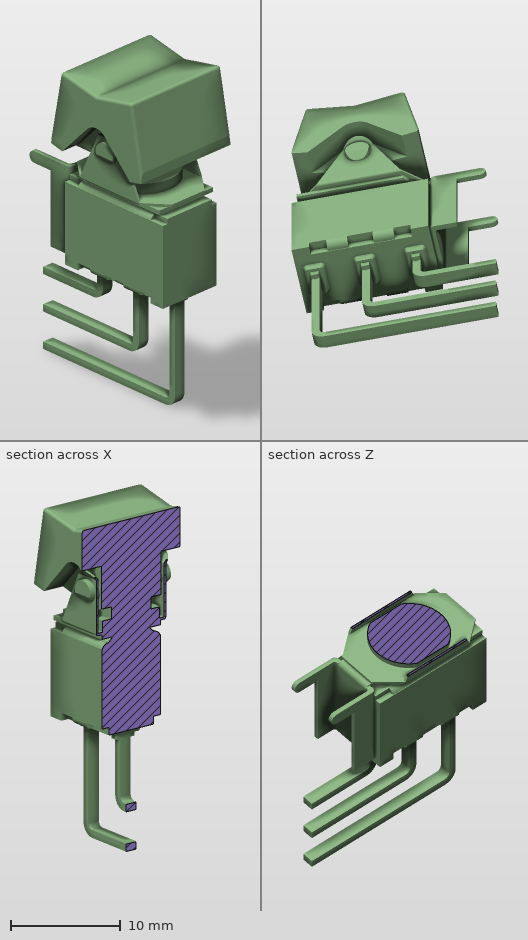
import cadquery as cq
import math


case_length = 12.7
case_width = 6.83
case_bottom = 11.6
case_top = 20.53
case_step_height = 0.52
case_step_depth = 0.6

sheet = 0.45
sheet_outer_bend = 0.42
sheet_inner_bend = 0.23
frame_half_length = 4.72
frame_side_bottom = 12.33
frame_bend_radius = 0.8
frame_plate_bottom = 20.95
frame_plate_top = frame_plate_bottom + sheet
frame_plate_right = 5.9
frame_plate_left = -5.47
frame_corner_run = 1.43
frame_neck_half_width = case_width / 2 - frame_corner_run
riser_length = 11.4
riser_width = case_width - 2 * frame_bend_radius
riser_corner_radius = 1.0
riser_taper = 45
web_outer_x = -case_length / 2 - sheet
leg_outer_y = 2.83
leg_left = -8.85
leg_top = 21.28
hook_left = -11.6
hook_height = 1.2
tab_length = 1.95
tab_offset = 2.15
tab_bottom = 11.65
tab_radius = 0.65

bracket_sheet = 0.25
bracket_outer_bend = 0.23
bracket_half_length = 6.18
bracket_half_width = 4.05
bracket_plate_bottom = frame_plate_top
bracket_plate_top = bracket_plate_bottom + bracket_sheet
bracket_end_half_width = 2.08
bracket_wall_half_foot = 3.8
bracket_lip_z = 26.78
bracket_lip_angle = 40
bracket_top_radius = 1.6
bracket_top = 27.63
bracket_top_center = bracket_top - bracket_top_radius

bushing_diameter = 5.2
collar_diameter = 7.6
collar_width = 6.65
collar_top = 22.75

cap_peak = 32.55
cap_valley = 31.65
cap_bottom = 23.6
cap_width = 11.42
cap_top_half_length = 4.6
cap_half_length = 5.85
cap_slope_end = 25.95
cap_skirt_end = 24.93
cap_edge_radius = 0.3
core_width = 6.95
arch_top = 28.5
arch_radius = 1.6
arch_angle = 46.5

pin_diameter = 2.2
pin_z = 25.48
pin_protrusion = 0.65
pin_end_y = bracket_half_width + pin_protrusion
pin_ramp_top = 25.15
pin_land = 0.05

terminal_pitch = 4.7
terminal_step = 3.8
terminal_thickness = 0.75
terminal_width = 1.2
terminal_left = -12.07
terminal_inner_radius = 0.52
terminal_count = 3
shoulder_width = 2.08
shoulder_bottom = 10.58
seal_length = 2.02
seal_width = 3.2
seal_bottom = 11.13
seal_taper = 30
seal_corner_radius = 0.4


def block(x_min, x_max, y_min, y_max, z_min, z_max):
    return cq.Workplane("XY").box(
        x_max - x_min, y_max - y_min, z_max - z_min, centered=False
    ).translate((x_min, y_min, z_min))


def extrude_across(profile, width):
    """Turn an XZ wire sketch into a prism of the given width, centred on Y = 0."""
    return profile.close().extrude(width / 2, both=True)


def make_case():
    """Case with stepped top edges and a waist, below the frame, between its two end blocks."""
    half_length = case_length / 2
    half_width = case_width / 2
    case = block(-half_length, half_length, -half_width, half_width, case_bottom, case_top)
    step_y = half_width - case_step_depth
    for y_min in (-half_width, step_y):
        case = case.cut(
            block(
                -half_length, half_length, y_min, y_min + case_step_depth,
                case_top - case_step_height, case_top,
            )
        )
    for y_min in (-half_width, half_width - frame_bend_radius):
        case = case.cut(
            block(
                -frame_half_length, frame_half_length, y_min, y_min + frame_bend_radius,
                case_bottom, frame_side_bottom,
            )
        )
    return case


def make_frame_sides():
    """Side panels rounded over at the top, with clip tabs that curl in under the bottom edge."""
    half_width = case_width / 2
    sides = block(
        -frame_half_length, frame_half_length, -half_width, half_width, frame_side_bottom, case_top
    )
    sides = sides.faces(">Z").edges("|X").fillet(frame_bend_radius)
    for offset in (-tab_offset, tab_offset):
        tabs = block(
            offset - tab_length / 2, offset + tab_length / 2, -half_width, half_width,
            tab_bottom, frame_side_bottom,
        )
        sides = sides.union(tabs.faces("<Z").edges("|X").fillet(tab_radius))
    return sides


def make_frame_plate():
    """Flat plate that narrows to a neck and bends down into the web."""
    half_width = case_width / 2
    corner_x = frame_plate_left + frame_corner_run
    plate = (
        cq.Workplane("XY", origin=(0, 0, frame_plate_bottom))
        .moveTo(frame_plate_right, -half_width)
        .lineTo(corner_x, -half_width)
        .lineTo(frame_plate_left, -frame_neck_half_width)
        .lineTo(web_outer_x, -frame_neck_half_width)
        .lineTo(web_outer_x, frame_neck_half_width)
        .lineTo(frame_plate_left, frame_neck_half_width)
        .lineTo(corner_x, half_width)
        .lineTo(frame_plate_right, half_width)
        .close()
        .extrude(sheet)
    )
    web = block(
        web_outer_x, web_outer_x + sheet, -frame_neck_half_width, frame_neck_half_width,
        frame_side_bottom, frame_plate_top,
    )
    return plate.union(web).faces("<X").edges(">Z").fillet(sheet_outer_bend)


def make_riser():
    """Tapered step between the case top and the frame plate."""
    outline = cq.Sketch().rect(riser_length, riser_width).vertices().fillet(riser_corner_radius)
    return (
        cq.Workplane("XY", origin=(0, 0, case_top))
        .placeSketch(outline)
        .extrude(frame_plate_bottom - case_top, taper=riser_taper)
    )


def make_legs():
    """Flanges bent outward from both sides of the web, each with a round-ended hook at the top."""
    channel = block(
        leg_left, web_outer_x + sheet, -leg_outer_y, leg_outer_y, frame_side_bottom, leg_top
    )
    channel = channel.faces(">X").edges("|Z").fillet(sheet_outer_bend)
    inner_y = leg_outer_y - sheet
    gap = block(leg_left, web_outer_x, -inner_y, inner_y, frame_side_bottom, leg_top)
    channel = channel.cut(gap.faces(">X").edges("|Z").fillet(sheet_inner_bend))
    neck_gap = block(
        leg_left, web_outer_x + sheet, -frame_neck_half_width, frame_neck_half_width,
        frame_side_bottom, leg_top,
    )
    channel = channel.cut(neck_gap)
    for y_min in (-leg_outer_y, inner_y):
        hook_radius = hook_height / 2
        hook = (
            cq.Workplane("XZ", origin=(0, y_min + sheet, leg_top - hook_radius))
            .moveTo(leg_left, hook_radius)
            .lineTo(hook_left + hook_radius, hook_radius)
            .threePointArc((hook_left, 0), (hook_left + hook_radius, -hook_radius))
            .lineTo(leg_left, -hook_radius)
            .close()
            .extrude(sheet)
        )
        channel = channel.union(hook)
    return channel


def make_bracket():
    """Eight-sided base plate with two upright walls that taper to an outward-leaning round lip."""
    octagon = [
        (bracket_half_length, -bracket_end_half_width),
        (bracket_half_length, bracket_end_half_width),
        (bracket_wall_half_foot, bracket_half_width),
        (-bracket_wall_half_foot, bracket_half_width),
        (-bracket_half_length, bracket_end_half_width),
        (-bracket_half_length, -bracket_end_half_width),
        (-bracket_wall_half_foot, -bracket_half_width),
        (bracket_wall_half_foot, -bracket_half_width),
    ]
    plate = (
        cq.Workplane("XY", origin=(0, 0, bracket_plate_bottom))
        .polyline(octagon)
        .close()
        .extrude(bracket_sheet)
        .edges("|X and <Z")
        .fillet(bracket_outer_bend)
    )

    foot_drop = bracket_top_center - bracket_plate_top
    foot_distance = math.hypot(bracket_wall_half_foot, foot_drop)
    tangent_angle = math.acos(bracket_top_radius / foot_distance) - math.atan2(
        foot_drop, bracket_wall_half_foot
    )
    tangent_x = bracket_top_radius * math.cos(tangent_angle)
    tangent_z = bracket_top_center + bracket_top_radius * math.sin(tangent_angle)
    wall_outline = extrude_across(
        cq.Workplane("XZ")
        .moveTo(-bracket_wall_half_foot, bracket_plate_top)
        .lineTo(-tangent_x, tangent_z)
        .threePointArc((0, bracket_top), (tangent_x, tangent_z))
        .lineTo(bracket_wall_half_foot, bracket_plate_top),
        cap_width,
    )
    lip_reach = (bracket_top - bracket_lip_z) * math.tan(math.radians(bracket_lip_angle))
    wall_section = (
        cq.Workplane("YZ")
        .moveTo(bracket_half_width, bracket_plate_top)
        .lineTo(bracket_half_width, bracket_lip_z)
        .lineTo(bracket_half_width + lip_reach, bracket_top)
        .lineTo(bracket_half_width + lip_reach - bracket_sheet, bracket_top)
        .lineTo(bracket_half_width - bracket_sheet, bracket_lip_z)
        .lineTo(bracket_half_width - bracket_sheet, bracket_plate_top)
        .close()
        .extrude(bracket_wall_half_foot, both=True)
    )
    wall = wall_section.intersect(wall_outline)
    return plate.union(wall).union(wall.mirror("XZ"))


def make_bushing():
    """Collar with two flats and the round neck that carries the cap."""
    collar = (
        cq.Workplane("XY", origin=(0, 0, bracket_plate_top))
        .circle(collar_diameter / 2)
        .extrude(collar_top - bracket_plate_top)
    )
    flats = block(
        -collar_diameter, collar_diameter, -collar_width / 2, collar_width / 2,
        bracket_plate_top, collar_top,
    )
    neck = (
        cq.Workplane("XY", origin=(0, 0, bracket_plate_top))
        .circle(bushing_diameter / 2)
        .extrude(cap_skirt_end - bracket_plate_top)
    )
    return collar.intersect(flats).union(neck)


def make_cap():
    """Rocker cap with a V-shaped top, arched end openings and a full-depth core."""
    tilt = math.atan((cap_peak - cap_valley) / cap_top_half_length)
    corner_z = cap_peak + cap_edge_radius * (math.cos(tilt) + math.sin(tilt) - 1)
    cap = extrude_across(
        cq.Workplane("XZ")
        .moveTo(0, cap_bottom)
        .lineTo(cap_half_length, cap_skirt_end)
        .lineTo(cap_half_length, cap_slope_end)
        .lineTo(cap_top_half_length, corner_z)
        .lineTo(0, cap_valley)
        .lineTo(-cap_top_half_length, corner_z)
        .lineTo(-cap_half_length, cap_slope_end)
        .lineTo(-cap_half_length, cap_skirt_end),
        cap_width,
    )
    rounded_zone = cq.selectors.BoxSelector(
        (-cap_half_length, -cap_width, cap_slope_end + cap_edge_radius),
        (cap_half_length, cap_width, corner_z + cap_edge_radius),
    )
    valley_zone = cq.selectors.BoxSelector(
        (-cap_edge_radius, -core_width / 2, cap_valley - cap_edge_radius),
        (cap_edge_radius, core_width / 2, cap_valley + cap_edge_radius),
    )
    rounded = cap.edges(rounded_zone - valley_zone).fillet(cap_edge_radius)

    angle = math.radians(arch_angle)
    arch_center = arch_top - arch_radius
    tangent_x = arch_radius * math.sin(angle)
    tangent_z = arch_center + arch_radius * math.cos(angle)
    foot_x = tangent_x + (tangent_z - cap_bottom) / math.tan(angle)
    arch = extrude_across(
        cq.Workplane("XZ")
        .moveTo(-foot_x, cap_bottom)
        .lineTo(-tangent_x, tangent_z)
        .threePointArc((0, arch_top), (tangent_x, tangent_z))
        .lineTo(foot_x, cap_bottom),
        cap_width,
    )
    core_zone = block(
        -cap_half_length, cap_half_length, -core_width / 2, core_width / 2, cap_bottom, cap_peak
    )
    return rounded.cut(arch.cut(core_zone))


def make_pin():
    """Pivot pin through both bracket walls, ramped underneath at each end."""
    pin = (
        cq.Workplane("XZ", origin=(0, 0, pin_z))
        .circle(pin_diameter / 2)
        .extrude(pin_end_y, both=True)
    )
    pin_bottom = pin_z - pin_diameter / 2
    ramp = (
        cq.Workplane("YZ")
        .moveTo(pin_end_y, pin_ramp_top)
        .lineTo(bracket_half_width + pin_land, pin_bottom)
        .lineTo(pin_end_y, pin_bottom)
        .close()
        .extrude(pin_diameter / 2, both=True)
    )
    return pin.cut(ramp).cut(ramp.mirror("XZ"))


def make_terminal(center_x, level):
    """Flat terminal bent toward -X, with its shoulder and the tapered seal around it."""
    half = terminal_thickness / 2
    left = center_x - half
    right = center_x + half
    top = level + terminal_thickness
    outer_radius = terminal_inner_radius + terminal_thickness
    diagonal = 1 - math.sqrt(0.5)
    terminal = extrude_across(
        cq.Workplane("XZ")
        .moveTo(terminal_left, level)
        .lineTo(right - outer_radius, level)
        .threePointArc(
            (right - outer_radius * diagonal, level + outer_radius * diagonal),
            (right, level + outer_radius),
        )
        .lineTo(right, case_bottom)
        .lineTo(left, case_bottom)
        .lineTo(left, top + terminal_inner_radius)
        .threePointArc(
            (left - terminal_inner_radius * diagonal, top + terminal_inner_radius * diagonal),
            (left - terminal_inner_radius, top),
        )
        .lineTo(terminal_left, top),
        terminal_width,
    )
    shoulder = block(left, right, -shoulder_width / 2, shoulder_width / 2, shoulder_bottom, case_bottom)
    seal_outline = cq.Sketch().rect(seal_length, seal_width).vertices().fillet(seal_corner_radius)
    seal = (
        cq.Workplane("XY", origin=(center_x, 0, case_bottom))
        .placeSketch(seal_outline)
        .extrude(seal_bottom - case_bottom, taper=seal_taper)
    )
    return terminal.union(shoulder).union(seal)


result = (
    make_case()
    .union(make_frame_sides())
    .union(make_riser())
    .union(make_frame_plate())
    .union(make_legs())
    .union(make_bracket())
    .union(make_bushing())
    .union(make_cap())
    .union(make_pin())
)
for index in range(terminal_count):
    result = result.union(
        make_terminal(
            (index - (terminal_count - 1) / 2) * terminal_pitch,
            (terminal_count - 1 - index) * terminal_step,
        )
    )